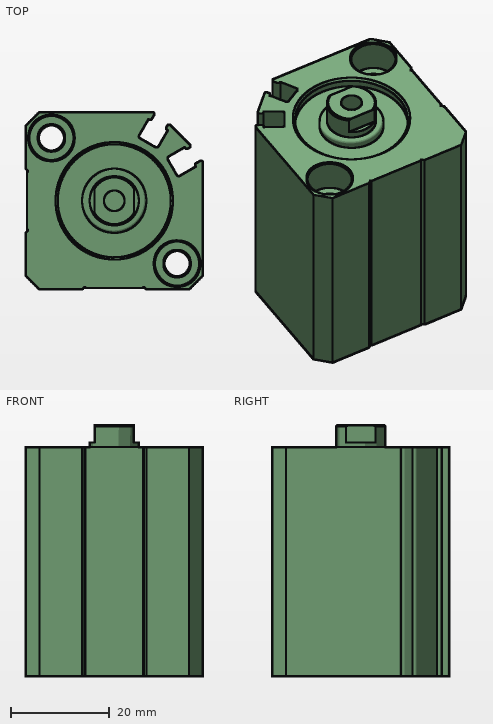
import cadquery as cq
import math

side = 36.0
half = side / 2
overall_height = 51
rod_projection = 4.5
housing_height = overall_height - rod_projection
corner_chamfer = 2.8
slotted_corner_chamfer = 9.25

panel_half_width = 5.8
panel_depth = 0.25
panel_relief_half_width = 6.0
panel_relief_depth = 0.5

slot_angles = (30, 60)
slot_floor = 13.6
slot_half_width = 2.25
slot_lip_start = 17.8
slot_mouth_half_width = 1.7
slot_floor_radius = 0.4
slot_lip_radius = 0.4

hole_offset = 12.75
hole_radius = 2.55
hole_chamfer = 0.25
counterbore_radius = 4.5
counterbore_depth = 7.0
counterbore_chamfer = 0.25

recess_radius = 11.5
recess_chamfer = 0.45
recess_depth = 2.0
boss_radius = 6.55
boss_height = 1.5
boss_round = 0.5
boss_top = housing_height - recess_depth + boss_height

rod_radius = 5.0
rod_chamfer = 0.25
flats_width = 8.0
flats_length = 3.5
rod_hole_radius = 2.1
rod_hole_depth = 4.0


def make_block():
    far_corner = half - slotted_corner_chamfer
    near_corner = half - corner_chamfer
    outline = [
        (far_corner, half), (-near_corner, half), (-half, near_corner),
        (-half, -near_corner), (-near_corner, -half), (near_corner, -half),
        (half, -near_corner), (half, far_corner),
    ]
    return cq.Workplane("XY").polyline(outline).close().extrude(housing_height)


def make_panel_cutter():
    """Recess on the -Y face, with a 45 degree relief along both long edges."""
    edge_half_width = panel_relief_half_width + panel_relief_depth
    right_side = [
        (panel_half_width, -half + panel_depth),
        (panel_relief_half_width, -half + panel_relief_depth),
        (edge_half_width, -half),
    ]
    left_side = [(-x, y) for x, y in reversed(right_side)]
    return cq.Workplane("XY").polyline(right_side + left_side).close().extrude(housing_height)


def make_slot_cutter():
    """Sensor slot running along Z and opening toward +X."""
    right_side = [
        (slot_floor, -slot_half_width),
        (slot_lip_start, -slot_half_width),
        (slot_lip_start, -slot_mouth_half_width),
        (side, -slot_mouth_half_width),
    ]
    left_side = [(x, -y) for x, y in reversed(right_side)]
    cutter = cq.Workplane("XY").polyline(right_side + left_side).close().extrude(housing_height)
    return cutter.edges("|Z and <X").fillet(slot_floor_radius)


def is_slot_lip_edge(edge):
    """True for an edge on the mouth wall of either slot."""
    center = edge.Center()
    for angle in slot_angles:
        direction = math.radians(angle)
        along = center.x * math.cos(direction) + center.y * math.sin(direction)
        across = center.y * math.cos(direction) - center.x * math.sin(direction)
        on_mouth_wall = math.isclose(abs(across), slot_mouth_half_width, abs_tol=0.005)
        if on_mouth_wall and along > slot_lip_start - slot_lip_radius:
            return True
    return False


def cone_cutter(top_radius, depth, top_z):
    """45 degree cone, widest at top_z, that chamfers the mouth of a round hole."""
    bottom_radius = top_radius - depth
    base = cq.Vector(0, 0, top_z - depth)
    return cq.Workplane(cq.Solid.makeCone(bottom_radius, top_radius, depth, base))


def make_mounting_hole_cutter():
    counterbore_floor = housing_height - counterbore_depth
    through = cq.Workplane("XY").circle(hole_radius).extrude(housing_height)
    counterbore = (
        cq.Workplane("XY").workplane(offset=counterbore_floor)
        .circle(counterbore_radius).extrude(counterbore_depth)
    )
    inner_mouth = cone_cutter(hole_radius + hole_chamfer, hole_chamfer, counterbore_floor)
    outer_mouth = cone_cutter(counterbore_radius + counterbore_chamfer, counterbore_chamfer, housing_height)
    return through.union(counterbore).union(inner_mouth).union(outer_mouth)


def make_recess_cutter():
    recess = (
        cq.Workplane("XY").workplane(offset=housing_height - recess_depth)
        .circle(recess_radius).extrude(recess_depth)
    )
    return recess.union(cone_cutter(recess_radius + recess_chamfer, recess_chamfer, housing_height))


def make_boss():
    return (
        cq.Workplane("XY").workplane(offset=housing_height - recess_depth)
        .circle(boss_radius).extrude(boss_height)
        .faces(">Z").edges().fillet(boss_round)
    )


def make_housing():
    housing = make_block()

    panel = make_panel_cutter()
    for turn in (0, -90):
        housing = housing.cut(panel.rotate((0, 0, 0), (0, 0, 1), turn))

    slot = make_slot_cutter()
    for angle in slot_angles:
        housing = housing.cut(slot.rotate((0, 0, 0), (0, 0, 1), angle))
    housing = housing.edges("|Z").filter(is_slot_lip_edge).fillet(slot_lip_radius)

    mounting_hole = make_mounting_hole_cutter()
    for sign in (1, -1):
        housing = housing.cut(mounting_hole.translate((sign * hole_offset, -sign * hole_offset, 0)))

    return housing.cut(make_recess_cutter()).union(make_boss())


def make_rod():
    """Rod end standing on the boss, with two wrench flats facing +X and -X."""
    rod = (
        cq.Workplane("XY").workplane(offset=boss_top)
        .circle(rod_radius).extrude(overall_height - boss_top)
        .faces(">Z").edges().chamfer(rod_chamfer)
    )
    flat_cut_width = rod_radius
    for sign in (1, -1):
        flat_cut = (
            cq.Workplane("XY").workplane(offset=overall_height - flats_length)
            .center(sign * (flats_width + flat_cut_width) / 2, 0)
            .rect(flat_cut_width, 2 * rod_radius).extrude(flats_length)
        )
        rod = rod.cut(flat_cut)
    hole = (
        cq.Workplane("XY").workplane(offset=overall_height - rod_hole_depth)
        .circle(rod_hole_radius).extrude(rod_hole_depth)
    )
    return rod.cut(hole)


housing = make_housing()
rod = make_rod()

result = cq.Compound.makeCompound([housing.val(), rod.val()])